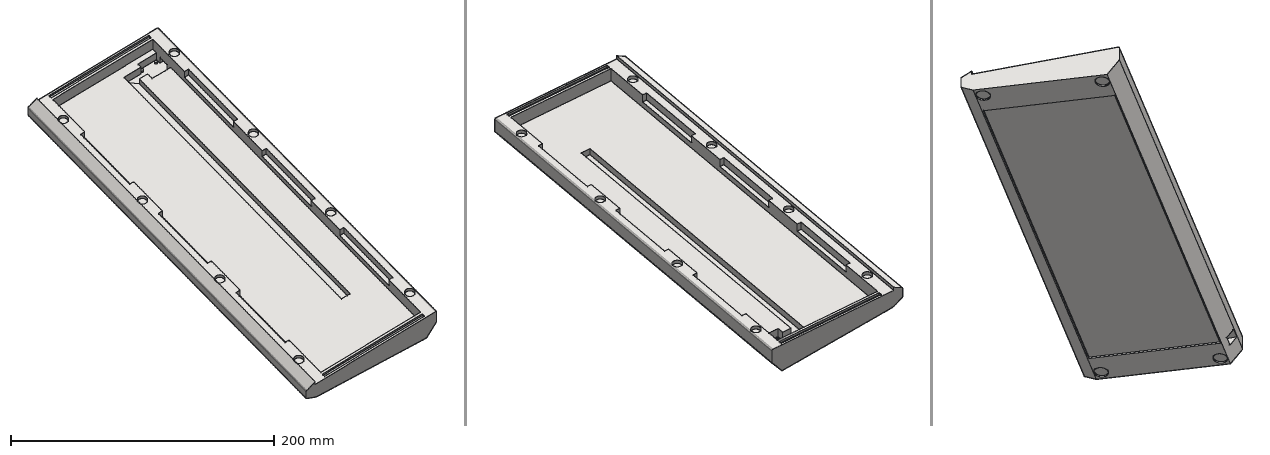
import cadquery as cq
import math

length = 346.8
depth = 125.2
height = 28.8
mid_x = length / 2

rim_z = 25.5
lip_y = 8.5
front_top_z = 24.0
front_bottom_z = 14.5
heel_y = 9.7
toe_y = 115.5
back_bottom_z = 12.5
tilt_angle = 5.0
edge_radius = 1.0
tilt = math.radians(tilt_angle)
heel_z = (toe_y - heel_y) * math.tan(tilt)

side_wall = 6.5
cavity_front_y = 19.0
cavity_back_y = 114.8
cavity_floor_z = 13.5

groove_inset = 1.7
groove_width = 2.8
groove_depth = 2.0

notch_length = 61.0
notch_width = 3.8
notch_depth = 7.0
notch_pitch = 96.7

magnet_diameter = 8.0
magnet_depth = 3.0
magnet_rows = (13.5, 120.0)
magnet_offsets = (48.2, 146.7)

channel_left_x = 15.0
channel_right_x = 285.7
channel_front_y = 80.8
channel_width = 8.3
channel_floor_z = 7.5

board_left_x = 11.0
board_size = 17.7
board_floor_z = 5.2
pin_diameter = 2.22
pin_height = 1.7
pin_inset = 2.25
board_right_x = board_left_x + board_size
board_front_y = cavity_back_y - board_size

port_width = 9.0
port_top_z = 12.0

plate_inset_x = 25.0
plate_margin = 1.0
plate_depth = 1.5
foot_diameter = 11.0
foot_depth = 1.5
foot_inset_x = 7.5
foot_margin = 6.0


def block(x_range, y_range, z_range):
    """Axis-aligned block filling the given X, Y and Z ranges."""
    sizes = [end - start for start, end in (x_range, y_range, z_range)]
    return cq.Workplane("XY").box(*sizes, centered=False).translate((x_range[0], y_range[0], z_range[0]))


def posts(points, diameter, base_z, post_height):
    """Vertical cylinders standing on base_z at the given X, Y points."""
    plane = cq.Workplane("XY", origin=(0, 0, base_z))
    return plane.pushPoints(points).circle(diameter / 2).extrude(post_height)


def wedge_body():
    """Solid wedge with a raised front lip and three softened long edges."""
    profile = [
        (0, front_bottom_z),
        (0, front_top_z),
        (lip_y, height),
        (lip_y, rim_z),
        (depth, rim_z),
        (depth, back_bottom_z),
        (toe_y, 0),
        (heel_y, heel_z),
    ]
    body = cq.Workplane("YZ").polyline(profile).close().extrude(length)
    for y, z in ((0, front_bottom_z), (0, front_top_z), (depth, rim_z)):
        nearest = cq.selectors.NearestToPointSelector((mid_x, y, z))
        body = body.edges(nearest).fillet(edge_radius)
    return body


def cut_cavity(body):
    """Open the tray and add the wall grooves, notches and magnet pockets."""
    cavity_y = (cavity_front_y, cavity_back_y)
    body = body.cut(block((side_wall, length - side_wall), cavity_y, (cavity_floor_z, height)))

    for groove_x in (groove_inset, length - groove_inset - groove_width):
        groove_z = (rim_z - groove_depth, height)
        body = body.cut(block((groove_x, groove_x + groove_width), cavity_y, groove_z))

    for step in (-1, 0, 1):
        notch_x = mid_x + step * notch_pitch
        notch = block(
            (notch_x - notch_length / 2, notch_x + notch_length / 2),
            (cavity_front_y - notch_width, cavity_back_y + notch_width),
            (rim_z - notch_depth, height),
        )
        body = body.cut(notch)

    magnets = [
        (mid_x + side * offset, y)
        for side in (-1, 1)
        for offset in magnet_offsets
        for y in magnet_rows
    ]
    return body.cut(posts(magnets, magnet_diameter, rim_z - magnet_depth, height))


def cut_electronics(body):
    """Cut the cable channel, board pocket and port, then add the board pins."""
    inner_x = channel_left_x + channel_width
    inner_y = channel_front_y + channel_width
    long_arm = block(
        (channel_left_x, channel_right_x),
        (channel_front_y, inner_y),
        (channel_floor_z, height),
    )
    short_arm_outline = [
        (channel_left_x, channel_front_y),
        (inner_x, inner_y),
        (inner_x, cavity_back_y),
        (channel_left_x, cavity_back_y),
    ]
    short_arm_plane = cq.Workplane("XY", origin=(0, 0, board_floor_z))
    short_arm = short_arm_plane.polyline(short_arm_outline).close().extrude(height)
    pocket = block(
        (board_left_x, board_right_x),
        (board_front_y, cavity_back_y),
        (board_floor_z, height),
    )
    port_x = (board_left_x + board_right_x) / 2
    port = block(
        (port_x - port_width / 2, port_x + port_width / 2),
        (cavity_back_y, depth),
        (board_floor_z, port_top_z),
    )
    for cutter in (long_arm, short_arm, pocket, port):
        body = body.cut(cutter)

    pins = [
        (x, y)
        for x in (board_left_x + pin_inset, board_right_x - pin_inset)
        for y in (board_front_y + pin_inset, cavity_back_y - pin_inset)
    ]
    return body.union(posts(pins, pin_diameter, board_floor_z, pin_height))


def cut_underside(body):
    """Recess a wide panel and four round feet into the sloped underside."""
    slope_length = (toe_y - heel_y) / math.cos(tilt)
    inward = (0, math.sin(tilt), math.cos(tilt))
    middle = (mid_x, (heel_y + toe_y) / 2, heel_z / 2)
    underside = cq.Workplane(cq.Plane(origin=middle, xDir=(1, 0, 0), normal=inward))

    panel = underside.rect(length - 2 * plate_inset_x, slope_length - 2 * plate_margin)
    body = body.cut(panel.extrude(plate_depth))

    foot_span_x = length - 2 * foot_inset_x
    foot_span_y = slope_length - 2 * foot_margin
    feet = underside.rect(foot_span_x, foot_span_y, forConstruction=True).vertices()
    return body.cut(feet.circle(foot_diameter / 2).extrude(foot_depth))


result = cut_underside(cut_electronics(cut_cavity(wedge_body())))